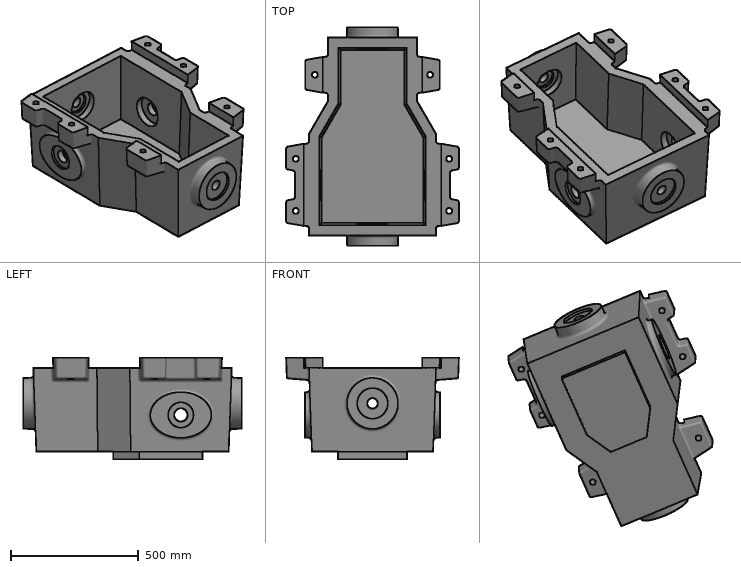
import cadquery as cq
import math

overall_width = 680.0
overall_length = 860.0
overall_height = 400.0

body_length = 780.0
wide_width = 500.0
narrow_width = 350.0
shoulder_start_y = 10.0
shoulder_angle = 60.0
wall = 40.0
draft = 2.0
base_height = 30.0
foot_rise = 40.0
rim_z = overall_height - foot_rise
cavity_depth = 290.0

base_width = 272.0
base_rear_y = -276.0
base_shoulder_y = -26.0
base_front_y = 76.0

boss_draft = 2.0
boss_fillet = 10.0
end_boss_z = 220.0
end_boss_size = 200.0
end_counterbore = 120.0
end_bore = 40.0
end_recess = 120.0
end_recess_step = 80.0
side_boss_y = -190.0
side_boss_z = 175.0
side_boss_tip_x = 266.0
side_boss_length = 240.0
side_boss_height = 180.0
side_counterbore = 100.0
side_bore = 52.0
side_recess = 120.0
counterbore_depth = 10.0
recess_depth = 20.0
recess_step_depth = 10.0

foot_reach = (overall_width - wide_width) / 2
foot_step = 20.0
foot_side_angle = 10.0
foot_tip_height = 82.0
foot_underside_angle = 4.5
foot_fillet = 10.0
foot_bottom_fillet = 9.0
foot_root_fillet = 10.0
foot_zone_z = 284.0
foot_hole = 22.0
foot_hole_inset = 39.0
narrow_foot_y = 242.5
narrow_foot_tip_length = 117.0
wide_foot_y = side_boss_y
wide_foot_tip_length = 299.0
wide_foot_hole_spacing = 205.0
notch_depth = 35.0
notch_mouth = 122.0

overlap = 9.0
embed = wall / 2


def slope(angle):
    return math.tan(math.radians(angle))


def drafted_prism(points, top_z, depth):
    """Solid over a convex outline that hangs down from top_z and narrows by the casting draft."""
    return cq.Workplane("XY").workplane(offset=top_z).polyline(points).close().extrude(-depth, taper=draft)


def drafted_housing(inset, depth):
    """Housing shape below the rim, its outline moved inward by inset: a long narrow box and a shouldered one."""
    wide = wide_width / 2 - inset
    narrow = narrow_width / 2 - inset
    end = body_length / 2 - inset
    shoulder_y = shoulder_start_y - inset * slope((90 - shoulder_angle) / 2)
    shoulder_end = wide - (end - shoulder_y) / slope(shoulder_angle)
    narrow_box = [(-narrow, -end), (narrow, -end), (narrow, end), (-narrow, end)]
    shouldered_box = [
        (-wide, -end), (wide, -end), (wide, shoulder_y),
        (shoulder_end, end), (-shoulder_end, end), (-wide, shoulder_y),
    ]
    return drafted_prism(narrow_box, rim_z, depth).union(drafted_prism(shouldered_box, rim_z, depth)).clean()


def base_pad():
    half = base_width / 2
    front_half = half - (base_front_y - base_shoulder_y) / slope(shoulder_angle)
    points = [
        (-half, base_rear_y), (half, base_rear_y), (half, base_shoulder_y),
        (front_half, base_front_y), (-front_half, base_front_y), (-half, base_shoulder_y),
    ]
    return cq.Workplane("XY").polyline(points).close().extrude(base_height)


def face_plane(origin, outward):
    """Plane on a boss tip, its local Y along Z and its normal pointing outward."""
    across = cq.Vector(0, 0, 1).cross(cq.Vector(*outward))
    return cq.Plane(origin=origin, xDir=across.toTuple(), normal=outward)


def drafted_boss(plane, length, height, depth):
    """Elliptic boss that widens from its tip toward the wall."""
    growth = depth * slope(boss_draft)
    return (
        cq.Workplane(plane).ellipse(length / 2, height / 2)
        .workplane(offset=-depth).ellipse(length / 2 + growth, height / 2 + growth)
        .loft(combine=True)
    )


def round_cut(plane, diameter, start, depth):
    """Cylinder that starts at a distance behind the plane and runs inward."""
    return cq.Workplane(plane).workplane(offset=-start).circle(diameter / 2).extrude(-depth)


def slab(low, high):
    return cq.selectors.BoxSelector(low, high)


def foot(side, center_y, wall_x, tip_length, hole_offsets, notched):
    """One foot on the wall at wall_x, reaching outward along +X or -X (side = 1 or -1)."""
    root_x = wall_x - embed
    tip_x = wall_x + foot_reach
    tip_half = tip_length / 2
    root_half = tip_half + (tip_x - root_x) * slope(foot_side_angle)
    plan = [(root_x, -root_half), (tip_x, -tip_half)]
    if notched:
        mouth_half = notch_mouth / 2
        floor_half = mouth_half - notch_depth * slope(foot_side_angle)
        floor_x = tip_x - notch_depth
        plan += [(tip_x, -mouth_half), (floor_x, -floor_half), (floor_x, floor_half), (tip_x, mouth_half)]
    plan += [(tip_x, tip_half), (root_x, root_half)]
    plan = [(side * x, center_y + y) for x, y in plan]

    tip_bottom = overall_height - foot_tip_height
    root_bottom = tip_bottom - (tip_x - root_x) * slope(foot_underside_angle)
    outline = cq.Sketch().polygon(plan + plan[:1]).vertices().fillet(foot_fillet)
    prism = (
        cq.Workplane("XY").workplane(offset=overall_height).placeSketch(outline)
        .extrude(root_bottom - overlap - overall_height, taper=draft)
    )

    step_x = wall_x + foot_step
    profile = [
        (root_x, root_bottom), (tip_x, tip_bottom), (tip_x, overall_height),
        (step_x, overall_height), (step_x, rim_z), (root_x, rim_z),
    ]
    profile = [(side * x, z) for x, z in profile]
    envelope = (
        cq.Workplane("XZ", origin=(0, center_y, 0)).polyline(profile).close().extrude(root_half, both=True)
    )
    body = prism.intersect(envelope).faces("<Z").edges().fillet(foot_bottom_fillet)
    holes = [(side * (tip_x - foot_hole_inset), center_y + y) for y in hole_offsets]
    drill = cq.Workplane("XY").workplane(offset=rim_z - overall_height / 2).pushPoints(holes)
    return body.cut(drill.circle(foot_hole / 2).extrude(overall_height))


housing = drafted_housing(0, rim_z - base_height).union(base_pad())

end_tip_y = overall_length / 2
end_planes = [face_plane((0, s * end_tip_y, end_boss_z), (0, s, 0)) for s in (1, -1)]
side_planes = [face_plane((s * side_boss_tip_x, side_boss_y, side_boss_z), (s, 0, 0)) for s in (1, -1)]
end_thickness = end_tip_y - body_length / 2 + embed
side_thickness = side_boss_tip_x - wide_width / 2 + embed
for plane in end_planes:
    housing = housing.union(drafted_boss(plane, end_boss_size, end_boss_size, end_thickness))
for plane in side_planes:
    housing = housing.union(drafted_boss(plane, side_boss_length, side_boss_height, side_thickness))

for s in (1, -1):
    end_y = s * body_length / 2
    side_x = s * wide_width / 2
    end_slab = slab(
        (-overlap, end_y - overlap, end_boss_z - overlap),
        (overlap, end_y + overlap, end_boss_z + overlap),
    )
    side_slab = slab(
        (side_x - overlap, side_boss_y - overlap, side_boss_z - overlap),
        (side_x + overlap, side_boss_y + overlap, side_boss_z + overlap),
    )
    housing = housing.edges(end_slab).fillet(boss_fillet)
    housing = housing.edges(side_slab).fillet(boss_fillet)

for s in (1, -1):
    hole_y = wide_foot_hole_spacing / 2
    wide_foot = foot(s, wide_foot_y, wide_width / 2, wide_foot_tip_length, (-hole_y, hole_y), True)
    narrow_foot = foot(s, narrow_foot_y, narrow_width / 2, narrow_foot_tip_length, (0,), False)
    housing = housing.union(wide_foot).union(narrow_foot)
    for wall_x, center_y, tip_length in (
        (wide_width / 2, wide_foot_y, wide_foot_tip_length),
        (narrow_width / 2, narrow_foot_y, narrow_foot_tip_length),
    ):
        root_slab = slab(
            (s * wall_x - overlap, center_y - tip_length / 2 - foot_reach / 2, foot_zone_z),
            (s * wall_x + overlap, center_y + tip_length / 2 + foot_reach / 2, rim_z - overlap),
        )
        housing = housing.edges(root_slab).fillet(foot_root_fillet)

housing = housing.cut(drafted_housing(wall, cavity_depth))

for plane in end_planes:
    inner = (overall_length - body_length) / 2 + wall
    housing = housing.cut(round_cut(plane, end_counterbore, 0, counterbore_depth))
    housing = housing.cut(round_cut(plane, end_bore, 0, inner + overlap))
    housing = housing.cut(round_cut(plane, end_recess, inner - recess_depth, 2 * recess_depth))
    step_start = inner - recess_depth - recess_step_depth
    housing = housing.cut(round_cut(plane, end_recess_step, step_start, 2 * recess_depth))
for plane in side_planes:
    inner = side_boss_tip_x - wide_width / 2 + wall
    housing = housing.cut(round_cut(plane, side_counterbore, 0, counterbore_depth))
    housing = housing.cut(round_cut(plane, side_bore, 0, inner + overlap))
    housing = housing.cut(round_cut(plane, side_recess, inner - recess_depth, 2 * recess_depth))

result = housing